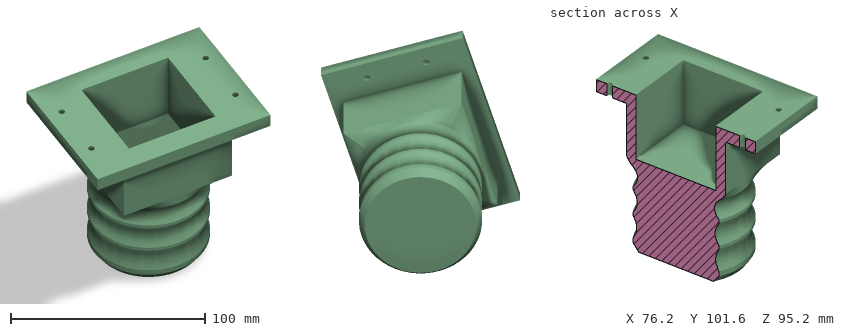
import cadquery as cq

plate_x = 76.2
plate_y = 101.6
plate_thickness = 7.6

box_side = 63.5
box_height = 31.5
pocket_side = 50.8
pocket_depth = plate_thickness + box_height

hole_diameter = 3.4
hole_spacing_x = 31.8
hole_spacing_y = 84.6

spigot_radius = box_side / 2
loft_height = 5.4
grooves = [
    (12.0, 3.8, 2.1),
    (13.6, 7.3, 2.0),
    (13.6, 7.3, 1.7),
]
rib_height = 2.0
end_rib_height = 3.0
end_chamfer_height = 4.5
end_chamfer_width = 3.0

box_bottom = -(plate_thickness + box_height)
spigot_top = box_bottom - loft_height


def make_flange_and_box():
    plate = cq.Workplane("XY").rect(plate_x, plate_y).extrude(-plate_thickness)
    box = cq.Workplane("XY").rect(box_side, box_side).extrude(box_bottom)
    return plate.union(box)


def make_transition():
    """Loft from the square box to the round spigot."""
    return (
        cq.Workplane("XY", origin=(0, 0, spigot_top))
        .circle(spigot_radius)
        .workplane(offset=loft_height)
        .rect(box_side, box_side)
        .loft(ruled=True)
    )


def make_spigot():
    """Revolve smooth grooves separated by narrow cylindrical ribs."""
    z = spigot_top
    profile = cq.Workplane("XZ").moveTo(0, z).lineTo(spigot_radius, z)
    for index, (height, low_point, depth) in enumerate(grooves):
        is_last = index == len(grooves) - 1
        deepest = (spigot_radius - depth, z - low_point)
        z -= height
        profile = profile.spline([deepest, (spigot_radius, z)], includeCurrent=True)
        z -= end_rib_height if is_last else rib_height
        profile = profile.lineTo(spigot_radius, z)
    z -= end_chamfer_height
    profile = profile.lineTo(spigot_radius - end_chamfer_width, z).lineTo(0, z).close()
    return profile.revolve(360, (0, 0, 0), (0, 1, 0))


def make_pocket():
    return cq.Workplane("XY").rect(pocket_side, pocket_side).extrude(-pocket_depth)


def make_screw_holes():
    return (
        cq.Workplane("XY")
        .rect(hole_spacing_x, hole_spacing_y, forConstruction=True)
        .vertices()
        .circle(hole_diameter / 2)
        .extrude(-plate_thickness)
    )


body = make_flange_and_box().union(make_transition()).union(make_spigot())
result = body.cut(make_pocket()).cut(make_screw_holes())